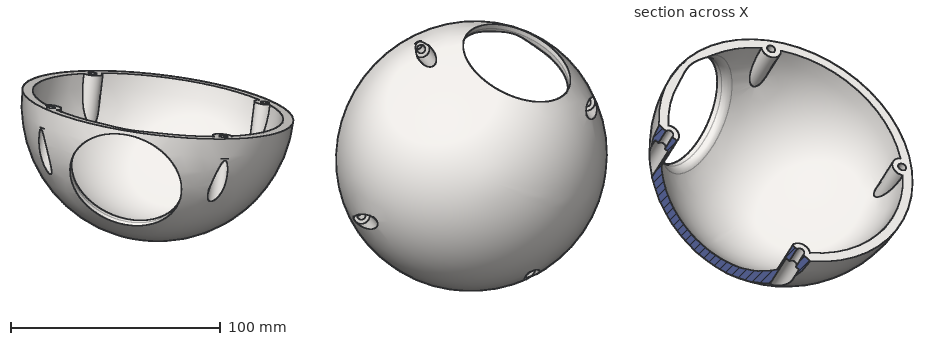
import cadquery as cq
import math

outer_radius = 65.0
wall = 5.0
inner_radius = outer_radius - wall
rim_tilt = 26.7

window_diameter = 55.0
window_round = 5.0

boss_diameter = 10.0
screw_diameter = 4.0
head_diameter = 8.0
head_seat_depth = 10.0
boss_angles = (45, 135, 225, 315)
boss_circle_radius = inner_radius


def boss_cylinders(diameter, start_depth):
    """Cylinders at all boss positions, running down from start_depth below the rim."""
    centers = [
        (
            boss_circle_radius * math.cos(math.radians(angle)),
            boss_circle_radius * math.sin(math.radians(angle)),
        )
        for angle in boss_angles
    ]
    return (
        cq.Workplane("XY")
        .workplane(offset=-start_depth)
        .pushPoints(centers)
        .circle(diameter / 2)
        .extrude(start_depth - outer_radius)
    )


def untilted_bowl():
    """Hollow hemisphere with bosses and screw holes, its rim lying on the XY plane."""
    lower_half = cq.Workplane("XY").box(
        2 * outer_radius, 2 * outer_radius, outer_radius, centered=(True, True, False)
    ).translate((0, 0, -outer_radius))
    ball = cq.Workplane("XY").sphere(outer_radius).intersect(lower_half)
    cavity = cq.Workplane("XY").sphere(inner_radius)
    bosses = boss_cylinders(boss_diameter, 0).intersect(ball)
    bowl = ball.cut(cavity).union(bosses)
    bowl = bowl.cut(boss_cylinders(screw_diameter, 0))
    return bowl.cut(boss_cylinders(head_diameter, head_seat_depth))


def window_cutter():
    """Cylinder through the front wall, its inner edge rounded into the spherical cavity."""
    window_radius = window_diameter / 2
    round_center_x = window_radius + window_round
    round_center_distance = inner_radius + window_round
    center_angle = math.asin(round_center_x / round_center_distance)
    round_center_y = -round_center_distance * math.cos(center_angle)
    cavity_tangent_x = inner_radius * math.sin(center_angle)
    cavity_tangent_y = -inner_radius * math.cos(center_angle)
    mid_angle = (math.pi / 2 + center_angle) / 2
    mid_x = round_center_x - window_round * math.sin(mid_angle)
    mid_y = round_center_y + window_round * math.cos(mid_angle)
    return (
        cq.Workplane("XY")
        .moveTo(0, -outer_radius)
        .lineTo(window_radius, -outer_radius)
        .lineTo(window_radius, round_center_y)
        .threePointArc((mid_x, mid_y), (cavity_tangent_x, cavity_tangent_y))
        .lineTo(0, cavity_tangent_y)
        .close()
        .revolve(360, (0, 0, 0), (0, 1, 0))
    )


result = untilted_bowl().rotate((0, 0, 0), (1, 0, 0), -rim_tilt).cut(window_cutter())